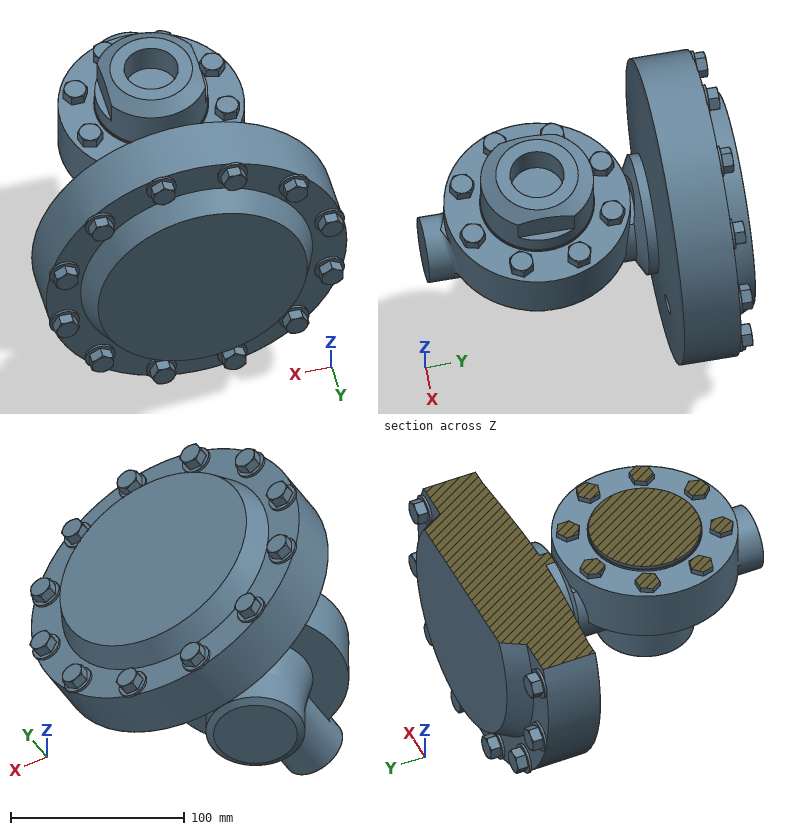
import cadquery as cq
import math


housing_diameter = 179.4
housing_radius = housing_diameter / 2
housing_front_y = 69.5
housing_back_y = 102.6
housing_cover_y = 116.3
cover_base_radius = 69.3
cover_face_radius = 62.5
front_cone_radius = 80.8
hub_radius = 35.2
hub_cone_y = 64.9
hub_front_y = 59.0
neck_start_y = 53.7
neck_radius = 25.7

vent_radius = 5.9
vent_x = 51.5
vent_z = -18.7
vent_depth = 7.3

flange_radius = 53.9
flange_bottom_z = 0.0
split_z = 19.0
cap_top_z = 31.7
cap_clearance = 2.4

collar_radius = 33.2
collar_height = 1.3
bonnet_radius = 32.6
bonnet_face_radius = 23.8
bonnet_shoulder_z = 56.8
bonnet_top_z = 62.5
bore_radius = 15.5
bore_depth = 17.5
flats_width = 56.0
flats_bottom_z = 43.2

body_top_radius = 33.2
spigot_radius = 28.5
spigot_top_z = -21.8
spigot_chamfer_z = -41.5
spigot_bottom_z = -44.0
spigot_face_radius = 24.2
taper_tilt = math.atan2(body_top_radius - spigot_radius, flange_bottom_z - spigot_top_z)

pipe_radius = split_z
pipe_end_y = -66.9
blend_radius = 3.0

hex_corners = 14.7
hex_chamfer_angle = 30
hex_half_angle = 30
cap_bolt_count = 8
cap_bolt_circle_radius = 44.3
cap_bolt_height = 6.0
housing_bolt_count = 12
housing_bolt_circle_radius = 81.9
housing_bolt_height = 6.5
washer_radius = 8.8
washer_height = 1.5

cap_hex_twist = 22.5
housing_hex_twist = -15


def turned_about_z(profile):
    """Revolve (radius, z) points about the Z axis."""
    return cq.Workplane("XZ").polyline(profile).close().revolve(360, (0, 0), (0, 1))


def turned_about_y(profile):
    """Revolve (radius, y) points about the Y axis."""
    return cq.Workplane("XY").polyline(profile).close().revolve(360, (0, 0), (0, 1))


def cylinder(radius, bottom, top):
    return cq.Workplane("XY").workplane(offset=bottom).circle(radius).extrude(top - bottom)


def hex_head(height):
    """Hexagon head standing on Z = 0 with its top corners turned off by a cone."""
    corner_radius = hex_corners / 2
    across_flats_radius = corner_radius * math.cos(math.radians(hex_half_angle))
    chamfer_drop = (corner_radius - across_flats_radius) * math.tan(math.radians(hex_chamfer_angle))
    head = cq.Workplane("XY").polygon(6, hex_corners).extrude(height)
    envelope = turned_about_z([
        (0, 0),
        (corner_radius, 0),
        (corner_radius, height - chamfer_drop),
        (across_flats_radius, height),
        (0, height),
    ])
    return head.intersect(envelope)


def bolt_ring(bolt, count, circle_radius, twist):
    """Place bolts round Z, half a pitch away from the X axis."""
    pitch = 360 / count
    ring = cq.Workplane("XY")
    twisted = bolt.rotate((0, 0, 0), (0, 0, 1), twist).translate((circle_radius, 0, 0))
    for index in range(count):
        ring = ring.add(twisted.rotate((0, 0, 0), (0, 0, 1), (index + 0.5) * pitch))
    return ring.combine()


def pipe_with_blend(core, lower_z, upper_z):
    """Join the side pipe to a tall round core, blend the joint and keep one band of heights."""
    pipe = cq.Workplane("XZ").circle(pipe_radius).extrude(-pipe_end_y)
    blended = core.union(pipe).edges("%BSPLINE").fillet(blend_radius)
    return blended.intersect(cylinder(2 * flange_radius, lower_z, upper_z))


def taper_radius(z):
    return body_top_radius + math.tan(taper_tilt) * (z - flange_bottom_z)


def underside_blend():
    """Quarter-turn fillet between taper and flange underside, from +X round to -Y."""
    centre_r = body_top_radius + blend_radius * (1 - math.sin(taper_tilt)) / math.cos(taper_tilt)
    centre_z = flange_bottom_z - blend_radius
    buried_r = body_top_radius - blend_radius

    def on_arc(angle):
        return (centre_r + blend_radius * math.cos(angle), centre_z + blend_radius * math.sin(angle))

    flange_angle = math.pi / 2
    taper_angle = math.pi - taper_tilt
    return (
        cq.Workplane("XZ")
        .moveTo(*on_arc(flange_angle))
        .threePointArc(on_arc((flange_angle + taper_angle) / 2), on_arc(taper_angle))
        .lineTo(buried_r, centre_z)
        .lineTo(buried_r, flange_bottom_z)
        .close()
        .revolve(90, (0, 0), (0, -1))
    )


def valve_body():
    """Spigot, tapered body and lower flange with the blended side pipe."""
    core_reach = 2 * pipe_radius
    spigot = turned_about_z([
        (0, spigot_bottom_z),
        (spigot_face_radius, spigot_bottom_z),
        (spigot_radius, spigot_chamfer_z),
        (spigot_radius, spigot_top_z),
        (0, spigot_top_z),
    ])
    tall_taper = turned_about_z([
        (0, -core_reach),
        (taper_radius(-core_reach), -core_reach),
        (taper_radius(core_reach), core_reach),
        (0, core_reach),
    ])
    tall_flange = cylinder(flange_radius, -core_reach, core_reach)
    tapered_body = pipe_with_blend(tall_taper, spigot_top_z, flange_bottom_z)
    flange = pipe_with_blend(tall_flange, flange_bottom_z, split_z)
    return spigot.union(tapered_body).union(flange).union(underside_blend())


def cap_and_bonnet():
    """Round cap with the bored bonnet that has two wrench flats across X."""
    bonnet = turned_about_z([
        (0, cap_top_z),
        (bonnet_radius, cap_top_z),
        (bonnet_radius, bonnet_shoulder_z),
        (bonnet_face_radius, bonnet_top_z),
        (0, bonnet_top_z),
    ])
    flats_height = bonnet_top_z - flats_bottom_z
    between_flats = (
        cq.Workplane("XY")
        .box(flats_width, 2 * bonnet_radius, flats_height, centered=(True, True, False))
        .translate((0, 0, flats_bottom_z))
    )
    bonnet = bonnet.intersect(cylinder(bonnet_radius, cap_top_z, flats_bottom_z).union(between_flats))
    cap = cylinder(flange_radius, split_z, cap_top_z)
    collar = cylinder(collar_radius, cap_top_z, cap_top_z + collar_height)
    bore = cylinder(bore_radius, bonnet_top_z - bore_depth, bonnet_top_z)
    bolts = bolt_ring(hex_head(cap_bolt_height), cap_bolt_count, cap_bolt_circle_radius, cap_hex_twist)
    return cap.union(collar).union(bonnet).cut(bore).union(bolts.translate((0, 0, cap_top_z)))


def diaphragm_housing():
    """Round housing with its hub and neck, bolts on the cover side and the vent hole."""
    housing = turned_about_y([
        (0, 0),
        (neck_radius, 0),
        (neck_radius, neck_start_y),
        (hub_radius, hub_front_y),
        (hub_radius, hub_cone_y),
        (front_cone_radius, housing_front_y),
        (housing_radius, housing_front_y),
        (housing_radius, housing_back_y),
        (cover_base_radius, housing_back_y),
        (cover_face_radius, housing_cover_y),
        (0, housing_cover_y),
    ])
    clearance = cylinder(flange_radius + cap_clearance, split_z, 2 * flange_radius)
    vent = (
        cq.Workplane("XZ")
        .center(vent_x, vent_z)
        .circle(vent_radius)
        .extrude(-housing_front_y - vent_depth)
    )
    bolt = cylinder(washer_radius, 0, washer_height).union(
        hex_head(housing_bolt_height).translate((0, 0, washer_height))
    )
    bolts = bolt_ring(bolt, housing_bolt_count, housing_bolt_circle_radius, housing_hex_twist)
    bolts = bolts.rotate((0, 0, 0), (1, 0, 0), -90).translate((0, housing_back_y, 0))
    return housing.cut(clearance).cut(vent).union(bolts)


result = valve_body().union(diaphragm_housing()).union(cap_and_bonnet())